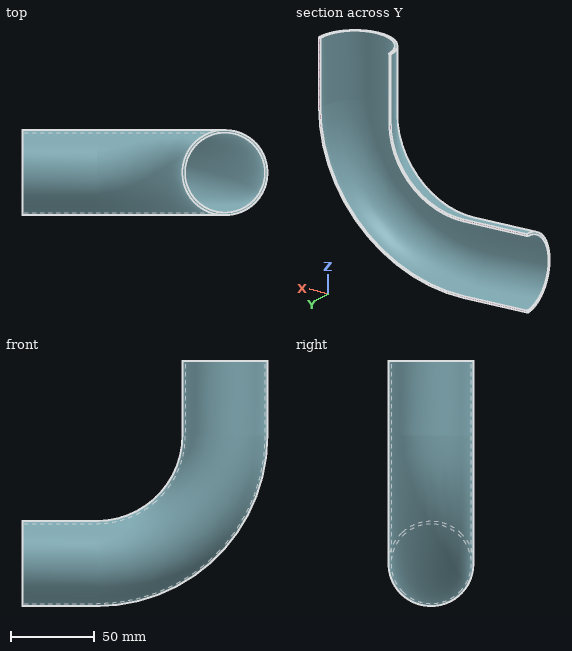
import cadquery as cq

overall_size = 146.1
outer_diameter = 50.8
wall = 1.6
bend_ratio = 1.5

outer_radius = outer_diameter / 2
inner_radius = outer_radius - wall
bend_radius = bend_ratio * outer_diameter
straight_length = overall_size - outer_radius - bend_radius


def make_centreline():
    """Straight along X, quarter bend, then straight up along Z."""
    return (
        cq.Workplane("XZ")
        .lineTo(straight_length, 0)
        .radiusArc((straight_length + bend_radius, bend_radius), -bend_radius)
        .lineTo(straight_length + bend_radius, bend_radius + straight_length)
    )


section = cq.Workplane("YZ").circle(outer_radius).circle(inner_radius)
result = section.sweep(make_centreline())